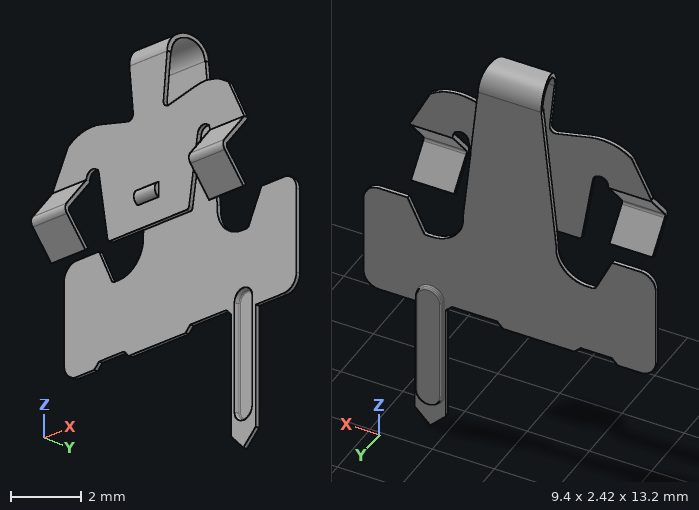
import cadquery as cq
import math

sheet = 0.15
height = 13.22
loop_r = 0.71
loop_z = height - loop_r
front_face_y = -2 * loop_r
front_back_y = front_face_y + sheet

neck_front_half = 0.77
neck_taper = 0.1
neck_back_half = 1.02
neck_root_r = 0.19

fold_z = 9.5
tongue_bottom_z = 7.31
tongue_corner_r = 0.1
arm_outer_x = 3.89
arm_width = 1.39
arm_inner_x = arm_outer_x - arm_width
shoulder_r = 1.59
shoulder_x = 2.29
shoulder_top_z = 11.09
shoulder_end_x = 3.25
shoulder_corner_r = 0.13
shoulder_slope = math.radians(13)
slot_r = 0.25
slot_draft = math.radians(9.2)

arm_angle = math.radians(39.5)
arm_tip_y = -2.27
arm_tip_inner_r = 0.1
arm_tip_r = arm_tip_inner_r + sheet

bump_width = 0.85
bump_z = 8.3
bump_half_height = 0.24
bump_rise = 0.16

plate_width = 9.4
plate_half = plate_width / 2
plate_bottom_z = 4.3
plate_top_z = 7.92
plate_corner_r = 0.5
relief_r = 1.0
relief_bottom_z = 6.78
relief_side_x = 2.74
relief_side_lean = 0.48
relief_corner_r = 0.1

notch_depth = 0.2
notch_width = 1.39
left_notch_x = -3.48
right_notch_x = 0.21

pin_x = 2.55
pin_width = 1.0
pin_shoulder_z = pin_width / 2
emboss_z = 2.92
emboss_width = 0.8
emboss_length = 4.15
pocket_width = 0.71
pocket_length = 4.11
pocket_draft = 24
emboss_edge_r = 0.04


def sheet_workplane(outer_y):
    """Plane facing -Y; extruding from it by the sheet thickness goes towards -Y."""
    return cq.Workplane("XZ", origin=(0, outer_y, 0))


def both_sides(half):
    """Complete a right-hand half with its mirror image across X = 0."""
    return half.union(half.mirror("YZ"))


def round_corner(body, x, z, radius):
    """Round the through-thickness edge closest to the point (x, z)."""
    mid_y = body.val().BoundingBox().center.y
    edge = body.edges("|Y").edges(cq.selectors.NearestToPointSelector((x, mid_y, z)))
    return edge.fillet(radius)


def make_front_plate():
    """Front plate from the neck down to the tongue, with shoulders that carry the arms."""
    shoulder_z = shoulder_top_z - shoulder_r
    slope_x = shoulder_x - shoulder_r * math.sin(shoulder_slope)
    slope_z = shoulder_z + shoulder_r * math.cos(shoulder_slope)
    end_z = shoulder_z + math.sqrt(shoulder_r**2 - (shoulder_end_x - shoulder_x) ** 2)

    fall = math.tan(shoulder_slope)
    slope_at_neck_z = slope_z - fall * (slope_x - neck_front_half)
    root_depth = (loop_z - slope_at_neck_z) / (1 - fall * neck_taper)
    root_x = neck_front_half - neck_taper * root_depth
    root_z = loop_z - root_depth

    slot_x = arm_inner_x - slot_r
    tongue_x = slot_x - slot_r * math.cos(slot_draft)
    tongue_z = fold_z + slot_r * math.sin(slot_draft)
    corner_x = tongue_x - (tongue_z - tongue_bottom_z) * math.tan(slot_draft)

    half = (
        sheet_workplane(front_back_y)
        .moveTo(0, loop_z)
        .lineTo(neck_front_half, loop_z)
        .lineTo(root_x, root_z)
        .lineTo(slope_x, slope_z)
        .threePointArc((shoulder_x, shoulder_top_z), (shoulder_end_x, end_z))
        .lineTo(arm_outer_x, fold_z)
        .lineTo(arm_inner_x, fold_z)
        .threePointArc((slot_x, fold_z + slot_r), (tongue_x, tongue_z))
        .lineTo(corner_x, tongue_bottom_z)
        .lineTo(0, tongue_bottom_z)
        .close()
        .extrude(sheet)
    )
    half = round_corner(half, root_x, root_z, neck_root_r)
    half = round_corner(half, shoulder_end_x, end_z, shoulder_corner_r)
    half = round_corner(half, corner_x, tongue_bottom_z, tongue_corner_r)
    return both_sides(half)


def make_arms():
    """Two V-shaped arms folded out of the front plate, with a rounded apex."""
    lean = math.tan(arm_angle)
    miter = sheet * math.tan(arm_angle / 2)
    apex_y = arm_tip_y - arm_tip_r * (1 / math.cos(arm_angle) - 1)
    apex_z = fold_z - (front_face_y - apex_y) / lean
    inner_apex_y = apex_y + sheet / math.cos(arm_angle)
    end_y = apex_y + (apex_z - tongue_bottom_z) * lean
    profile = [
        (front_face_y, fold_z),
        (apex_y, apex_z),
        (end_y, tongue_bottom_z),
        (end_y + sheet * math.cos(arm_angle), tongue_bottom_z + sheet * math.sin(arm_angle)),
        (inner_apex_y, apex_z),
        (front_back_y, fold_z - miter),
        (front_back_y, fold_z),
    ]
    arm = cq.Workplane("YZ", origin=(arm_inner_x, 0, 0)).polyline(profile).close().extrude(arm_width)
    mid_x = arm_inner_x + arm_width / 2
    for y, radius in ((apex_y, arm_tip_r), (inner_apex_y, arm_tip_inner_r)):
        nearest = cq.selectors.NearestToPointSelector((mid_x, y, apex_z))
        arm = arm.edges("|X").edges(nearest).fillet(radius)
    return both_sides(arm)


def make_bump():
    """Rounded bar across the front of the tongue."""
    return (
        cq.Workplane("YZ", origin=(-bump_width / 2, 0, 0))
        .moveTo(front_face_y, bump_z + bump_half_height)
        .threePointArc((front_face_y - bump_rise, bump_z), (front_face_y, bump_z - bump_half_height))
        .lineTo(front_back_y, bump_z - bump_half_height)
        .lineTo(front_back_y, bump_z + bump_half_height)
        .close()
        .extrude(bump_width)
    )


def make_loop():
    """Half ring over the top, trimmed to the width of the tapering neck."""
    ring = (
        cq.Workplane("YZ", origin=(-neck_back_half, 0, 0))
        .center(-loop_r, loop_z)
        .circle(loop_r)
        .circle(loop_r - sheet)
        .extrude(2 * neck_back_half)
    )
    half_neck = (
        cq.Workplane("XY", origin=(0, 0, loop_z))
        .moveTo(0, front_face_y)
        .lineTo(neck_front_half, front_face_y)
        .lineTo(neck_back_half, 0)
        .lineTo(0, 0)
        .close()
        .extrude(loop_r)
    )
    return ring.intersect(both_sides(half_neck))


def make_back_plate():
    """Wide plate below the neck, with rounded corners and a relief on each side of the neck."""
    relief_z = relief_bottom_z + relief_r
    lean = math.atan(neck_taper)
    relief_x = neck_back_half + neck_taper * (loop_z - relief_z) + relief_r / math.cos(lean)
    relief_end = (relief_x - relief_r * math.cos(lean), relief_z + relief_r * math.sin(lean))
    relief_middle = (
        relief_x - relief_r * math.sin(math.pi / 4),
        relief_z - relief_r * math.cos(math.pi / 4),
    )
    side_top_x = relief_side_x + relief_side_lean * (plate_top_z - relief_bottom_z)
    half = (
        sheet_workplane(0)
        .moveTo(0, loop_z)
        .lineTo(neck_back_half, loop_z)
        .lineTo(*relief_end)
        .threePointArc(relief_middle, (relief_x, relief_bottom_z))
        .lineTo(relief_side_x, relief_bottom_z)
        .lineTo(side_top_x, plate_top_z)
        .lineTo(plate_half, plate_top_z)
        .lineTo(plate_half, plate_bottom_z)
        .lineTo(0, plate_bottom_z)
        .close()
        .extrude(sheet)
    )
    half = round_corner(half, plate_half, plate_top_z, plate_corner_r)
    half = round_corner(half, plate_half, plate_bottom_z, plate_corner_r)
    half = round_corner(half, relief_side_x, relief_bottom_z, relief_corner_r)
    return both_sides(half)


def make_notch(left_x, width):
    """Shallow notch in the bottom edge, with 45 degree ends."""
    return (
        sheet_workplane(0)
        .moveTo(left_x, plate_bottom_z)
        .lineTo(left_x + notch_depth, plate_bottom_z + notch_depth)
        .lineTo(left_x + width - notch_depth, plate_bottom_z + notch_depth)
        .lineTo(left_x + width, plate_bottom_z)
        .close()
        .extrude(sheet)
    )


def make_pin():
    """Pointed pin hanging from the bottom edge of the back plate."""
    pin_half = pin_width / 2
    return (
        sheet_workplane(0)
        .moveTo(pin_x, 0)
        .lineTo(pin_x + pin_half, pin_shoulder_z)
        .lineTo(pin_x + pin_half, plate_bottom_z)
        .lineTo(pin_x - pin_half, plate_bottom_z)
        .lineTo(pin_x - pin_half, pin_shoulder_z)
        .close()
        .extrude(sheet)
    )


def add_emboss(body):
    """Stiffener pressed out of the pin: a raised slot shape with a drafted pocket in front."""
    ridge = (
        sheet_workplane(0)
        .center(pin_x, emboss_z)
        .slot2D(emboss_length, emboss_width, 90)
        .extrude(-sheet)
        .faces(">Y")
        .edges()
        .fillet(emboss_edge_r)
    )
    pocket = (
        sheet_workplane(-sheet)
        .center(pin_x, emboss_z)
        .slot2D(pocket_length, pocket_width, 90)
        .extrude(-sheet, taper=pocket_draft)
        .faces(">Y")
        .edges()
        .fillet(emboss_edge_r)
    )
    body = body.union(ridge)
    reach = emboss_edge_r
    foot = cq.selectors.BoxSelector(
        (pin_x - emboss_width / 2 - reach, -reach, emboss_z - emboss_length / 2 - reach),
        (pin_x + emboss_width / 2 + reach, reach, emboss_z + emboss_length / 2 + reach),
        boundingbox=True,
    )
    return body.edges(foot).fillet(emboss_edge_r).cut(pocket)


right_notch_width = pin_x - pin_width / 2 - right_notch_x
back_plate = make_back_plate()
back_plate = back_plate.cut(make_notch(left_notch_x, notch_width))
back_plate = back_plate.cut(make_notch(right_notch_x, right_notch_width))
back_plate = add_emboss(back_plate.union(make_pin()))

front_plate = make_front_plate().union(make_arms()).union(make_bump())

result = back_plate.union(make_loop()).union(front_plate)